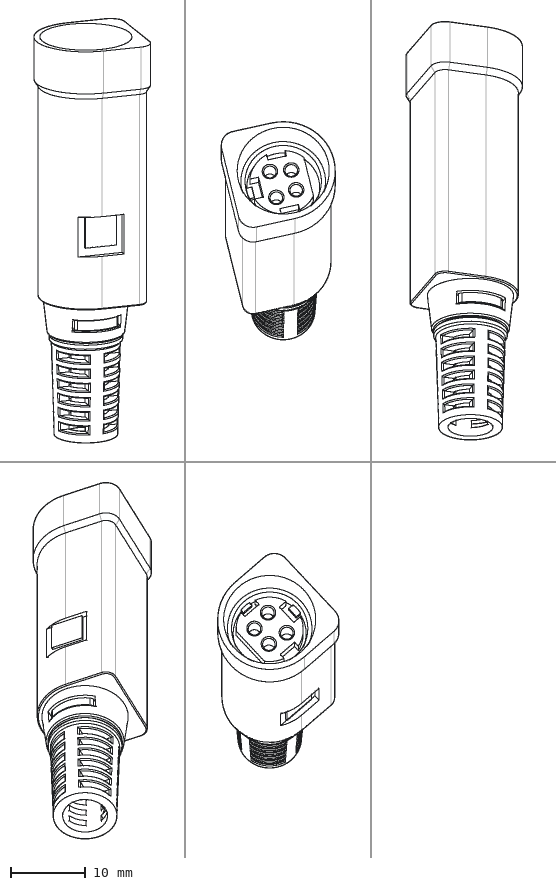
import cadquery as cq
import math

TOTAL_LENGTH = 55.55

HEAD_WIDTH = 13.95
HEAD_DEPTH = 14.3
HEAD_RADIUS = HEAD_WIDTH / 2
HEAD_BACK = HEAD_DEPTH - HEAD_RADIUS
HEAD_CORNER = 2.0
HEAD_STEP = 0.55
HEAD_EDGE_Z = -5.9
HEAD_CHAMFER_HEIGHT = 0.9
HOUSING_BOTTOM_Z = -36.35
HOUSING_EDGE_CHAMFER = 0.15
BODY_RADIUS = HEAD_RADIUS - HEAD_STEP

SOCKET_MOUTH_RADIUS = 6.15
SOCKET_END_RADIUS = 5.65
LEDGE_Z = -4.3
WELL_TOP_RADIUS = 5.1
BORE_RADIUS = 4.9
WELL_FLOOR_Z = -6.65

KEY_HALF_WIDTH = 0.8
KEY_TOP_Z = -6.0
BACK_KEY_REACH = 4.1
SIDE_KEY_REACH = 4.4

RECESS_FLOOR_X = 5.6
RECESS_PAD_X = 5.95
RECESS_PAD_HALF_WIDTH = 2.2
RECESS_TOP_Z = -23.35
RECESS_PAD_BOTTOM_Z = -27.65
RECESS_BOTTOM_Z = -28.9
RECESS_HALF_WIDTH = math.sqrt(BODY_RADIUS**2 - RECESS_FLOOR_X**2)

INSERT_FACE_Z = -4.6
INSERT_BOTTOM_Z = -16.65
NOSE_RADIUS = 4.5
NOSE_FLAT_Y = -3.5
SIDE_NOTCH_X = 3.55
SIDE_NOTCH_HALF_WIDTH = 1.3
BACK_NOTCH_Y = 3.05
BACK_NOTCH_HALF_WIDTH = 1.45
CONTACT_POINTS = [(-1.9, 1.4), (1.9, 1.4), (-1.45, -1.45), (1.45, -1.45)]
CONTACT_HOLE_RADIUS = 0.85
CONTACT_CHAMFER = 0.195
CONTACT_DEPTH = 3.35

NUT_TOP_RADIUS = 5.8
NUT_BOTTOM_RADIUS = 5.2
NUT_BOTTOM_Z = -41.4
NUT_EDGE_CHAMFER = 0.2
NUT_NECK_TOP_Z = -32.2
WINDOW_TOP_Z = -38.0
WINDOW_BOTTOM_Z = -39.6
WINDOW_SILL_DROP = 0.8
WINDOW_HALF_WIDTH = 3.45

CABLE_RADIUS = 3.0
PLUG_RADIUS = 4.2
PLUG_TOP_Z = -37.5
FLANGE_RADIUS = 4.95
FLANGE_CHAMFER = 0.3
FLANGE_BOTTOM_Z = -42.5
SLEEVE_TOP_RADIUS = 4.65
SLEEVE_BOTTOM_RADIUS = 4.3
SLOT_ROWS = 6
SLOT_PITCH = 2.0
SLOT_HEIGHT = 1.0
SLOT_EDGE_CHAMFER = 0.15
FIRST_SLOT_TOP_Z = -43.3
RIB_HALF_WIDTH = 1.1

TAB_RADIUS = 5.3
TAB_TOP_Z = -38.15
TAB_BOTTOM_Z = -39.5
TAB_HALF_WIDTH = 3.1
TAB_FACE_HALF_WIDTH = 2.8
TAB_SHOULDER_X = 4.1


def box_between(x_range, y_range, z_range):
    """Axis-aligned box given by its (low, high) range along X, Y and Z."""
    lows, highs = zip(x_range, y_range, z_range)
    sizes = [high - low for low, high in zip(lows, highs)]
    return cq.Workplane("XY").box(*sizes, centered=False).translate(lows)


def cylinder_between(radius, bottom_z, top_z):
    return cq.Workplane("XY", origin=(0, 0, bottom_z)).circle(radius).extrude(top_z - bottom_z)


def revolved(profile):
    """Solid of revolution about Z from (radius, z) points."""
    return cq.Workplane("XZ").polyline(profile).close().revolve(360, (0, 0), (0, 1))


def d_outline(inset, z):
    """Housing outline, moved inward by inset, on a plane at height z."""
    radius = HEAD_RADIUS - inset
    back = HEAD_BACK - inset
    corner = HEAD_CORNER - inset
    return (
        cq.Workplane("XY", origin=(0, 0, z))
        .moveTo(-radius, 0)
        .threePointArc((0, -radius), (radius, 0))
        .lineTo(radius, back - corner)
        .radiusArc((radius - corner, back), -corner)
        .lineTo(corner - radius, back)
        .radiusArc((-radius, back - corner), -corner)
        .close()
    )


def make_key(reach):
    """Key on the +Y wall of the socket well, with its inner face at the given reach."""
    return box_between((-KEY_HALF_WIDTH, KEY_HALF_WIDTH), (reach, WELL_TOP_RADIUS), (WELL_FLOOR_Z, KEY_TOP_Z))


def make_housing():
    head = d_outline(0, HEAD_EDGE_Z).extrude(-HEAD_EDGE_Z)
    taper = math.degrees(math.atan2(HEAD_STEP, HEAD_CHAMFER_HEIGHT))
    head_chamfer = d_outline(0, HEAD_EDGE_Z).extrude(-HEAD_CHAMFER_HEIGHT, taper=taper)
    body = d_outline(HEAD_STEP, HOUSING_BOTTOM_Z).extrude(HEAD_EDGE_Z - HOUSING_BOTTOM_Z)
    body = body.faces("<Z").chamfer(HOUSING_EDGE_CHAMFER)
    socket = revolved([
        (0, 0),
        (SOCKET_MOUTH_RADIUS, 0),
        (SOCKET_END_RADIUS, LEDGE_Z),
        (WELL_TOP_RADIUS, LEDGE_Z),
        (BORE_RADIUS, WELL_FLOOR_Z),
        (BORE_RADIUS, HOUSING_BOTTOM_Z),
        (0, HOUSING_BOTTOM_Z),
    ])
    housing = head.union(head_chamfer).union(body).cut(socket)
    side_key = make_key(SIDE_KEY_REACH).rotate((0, 0, 0), (0, 0, 1), 90)
    housing = housing.union(make_key(BACK_KEY_REACH)).union(side_key)

    recess_width = (-RECESS_HALF_WIDTH, RECESS_HALF_WIDTH)
    recess = box_between((RECESS_FLOOR_X, HEAD_RADIUS), recess_width, (RECESS_BOTTOM_Z, RECESS_TOP_Z))
    pad_width = (-RECESS_PAD_HALF_WIDTH, RECESS_PAD_HALF_WIDTH)
    pad = box_between((RECESS_FLOOR_X, RECESS_PAD_X), pad_width, (RECESS_PAD_BOTTOM_Z, RECESS_TOP_Z))
    return housing.cut(recess.cut(pad))


def make_insert():
    base = cylinder_between(BORE_RADIUS, INSERT_BOTTOM_Z, WELL_FLOOR_Z)
    nose_heights = (WELL_FLOOR_Z, INSERT_FACE_Z)
    nose = cylinder_between(NOSE_RADIUS, *nose_heights)
    full_width = (-NOSE_RADIUS, NOSE_RADIUS)
    side_notch_width = (-SIDE_NOTCH_HALF_WIDTH, SIDE_NOTCH_HALF_WIDTH)
    back_notch_width = (-BACK_NOTCH_HALF_WIDTH, BACK_NOTCH_HALF_WIDTH)
    nose = nose.cut(box_between(full_width, (-NOSE_RADIUS, NOSE_FLAT_Y), nose_heights))
    nose = nose.cut(box_between(back_notch_width, (BACK_NOTCH_Y, NOSE_RADIUS), nose_heights))
    nose = nose.cut(box_between((SIDE_NOTCH_X, NOSE_RADIUS), side_notch_width, nose_heights))
    nose = nose.cut(box_between((-NOSE_RADIUS, -SIDE_NOTCH_X), side_notch_width, nose_heights))
    contact_hole = revolved([
        (0, INSERT_FACE_Z),
        (CONTACT_HOLE_RADIUS + CONTACT_CHAMFER, INSERT_FACE_Z),
        (CONTACT_HOLE_RADIUS, INSERT_FACE_Z - CONTACT_CHAMFER),
        (CONTACT_HOLE_RADIUS, INSERT_FACE_Z - CONTACT_DEPTH),
        (0, INSERT_FACE_Z - CONTACT_DEPTH),
    ])
    insert = base.union(nose)
    for x, y in CONTACT_POINTS:
        insert = insert.cut(contact_hole.translate((x, y, 0)))
    return insert


def make_nut():
    nut = revolved([
        (CABLE_RADIUS, NUT_NECK_TOP_Z),
        (BORE_RADIUS, NUT_NECK_TOP_Z),
        (BORE_RADIUS, HOUSING_BOTTOM_Z),
        (NUT_TOP_RADIUS, HOUSING_BOTTOM_Z),
        (NUT_BOTTOM_RADIUS, NUT_BOTTOM_Z + NUT_EDGE_CHAMFER),
        (NUT_BOTTOM_RADIUS - NUT_EDGE_CHAMFER, NUT_BOTTOM_Z),
        (PLUG_RADIUS, NUT_BOTTOM_Z),
        (PLUG_RADIUS, PLUG_TOP_Z),
        (CABLE_RADIUS, PLUG_TOP_Z),
    ])
    sill_bottom_z = WINDOW_BOTTOM_Z - WINDOW_SILL_DROP
    window_ring = revolved([
        (0, WINDOW_TOP_Z),
        (NUT_TOP_RADIUS, WINDOW_TOP_Z),
        (NUT_TOP_RADIUS, sill_bottom_z),
        (TAB_RADIUS, WINDOW_BOTTOM_Z),
        (0, WINDOW_BOTTOM_Z),
    ])
    window_span = box_between(
        (-NUT_TOP_RADIUS, NUT_TOP_RADIUS),
        (-WINDOW_HALF_WIDTH, WINDOW_HALF_WIDTH),
        (sill_bottom_z, WINDOW_TOP_Z),
    )
    return nut.cut(window_ring.intersect(window_span))


def make_snap_tabs():
    """Ring segments on both X sides, with slanted ends."""
    face_x = math.sqrt(TAB_RADIUS**2 - TAB_FACE_HALF_WIDTH**2)
    outline = [
        (TAB_RADIUS, TAB_FACE_HALF_WIDTH),
        (face_x, TAB_FACE_HALF_WIDTH),
        (TAB_SHOULDER_X, TAB_HALF_WIDTH),
        (-TAB_SHOULDER_X, TAB_HALF_WIDTH),
        (-face_x, TAB_FACE_HALF_WIDTH),
        (-TAB_RADIUS, TAB_FACE_HALF_WIDTH),
    ]
    mirrored = [(-x, -y) for x, y in outline]
    height = TAB_TOP_Z - TAB_BOTTOM_Z
    base = cq.Workplane("XY", origin=(0, 0, TAB_BOTTOM_Z))
    block = base.polyline(outline + mirrored).close().extrude(height)
    ring = cylinder_between(TAB_RADIUS, TAB_BOTTOM_Z, TAB_TOP_Z)
    bore = cylinder_between(CABLE_RADIUS, TAB_BOTTOM_Z, TAB_TOP_Z)
    return block.intersect(ring).cut(bore)


def make_slotted_sleeve():
    """Tapered sleeve with chamfered slots in the four quarters between the ribs."""
    sleeve = revolved([
        (CABLE_RADIUS, FLANGE_BOTTOM_Z),
        (SLEEVE_TOP_RADIUS, FLANGE_BOTTOM_Z),
        (SLEEVE_BOTTOM_RADIUS, -TOTAL_LENGTH),
        (CABLE_RADIUS, -TOTAL_LENGTH),
    ])
    slot_reach = (RIB_HALF_WIDTH, FLANGE_RADIUS)
    for row in range(SLOT_ROWS):
        slot_top = FIRST_SLOT_TOP_Z - row * SLOT_PITCH
        slot = box_between(slot_reach, slot_reach, (slot_top - SLOT_HEIGHT, slot_top))
        for quarter in range(4):
            sleeve = sleeve.cut(slot.rotate((0, 0, 0), (0, 0, 1), 90 * quarter))

    outer_face = sleeve.faces("%CONE").val()
    opening_edges = [edge for wire in outer_face.innerWires() for edge in wire.Edges()]
    return sleeve.newObject(opening_edges).chamfer(SLOT_EDGE_CHAMFER)


def make_bend_relief():
    plug_and_flange = revolved([
        (CABLE_RADIUS, PLUG_TOP_Z),
        (PLUG_RADIUS, PLUG_TOP_Z),
        (PLUG_RADIUS, NUT_BOTTOM_Z),
        (FLANGE_RADIUS - FLANGE_CHAMFER, NUT_BOTTOM_Z),
        (FLANGE_RADIUS, NUT_BOTTOM_Z - FLANGE_CHAMFER),
        (FLANGE_RADIUS, FLANGE_BOTTOM_Z + FLANGE_CHAMFER),
        (SLEEVE_TOP_RADIUS, FLANGE_BOTTOM_Z),
        (CABLE_RADIUS, FLANGE_BOTTOM_Z),
    ])
    return plug_and_flange.union(make_snap_tabs()).union(make_slotted_sleeve())


housing = make_housing()
insert = make_insert()
nut = make_nut()
bend_relief = make_bend_relief()

result = cq.Compound.makeCompound([body.solids().val() for body in (housing, insert, nut, bend_relief)])